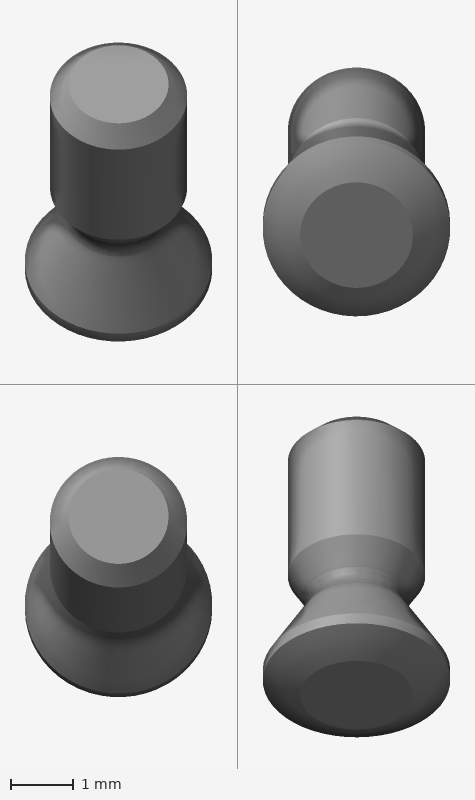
import cadquery as cq
import math

height = 5.0
body_radius = 1.1
head_radius = 1.5

chamfer = 0.3

rim_bottom = 0.3
rim_top = 0.5
body_bottom = 2.4

cone_slope = math.tan(math.radians(30))
waist_fillet = 0.3

dome_radius = 2.7
dome_centre_height = rim_bottom + math.sqrt(dome_radius**2 - head_radius**2)

waist_height = (rim_top + body_bottom + (head_radius - body_radius) / cone_slope) / 2
waist_radius = body_radius - (body_bottom - waist_height) * cone_slope


def dome_point(z):
    """Return the outline point where the dome passes the given height."""
    return (math.sqrt(dome_radius**2 - (dome_centre_height - z) ** 2), z)


def revolve_profile():
    """Revolve the half outline, with a sharp waist, about the Z axis."""
    return (
        cq.Workplane("XZ")
        .lineTo(*dome_point(0))
        .threePointArc(dome_point(rim_bottom / 2), (head_radius, rim_bottom))
        .lineTo(head_radius, rim_top)
        .lineTo(waist_radius, waist_height)
        .lineTo(body_radius, body_bottom)
        .lineTo(body_radius, height - chamfer)
        .lineTo(body_radius - chamfer, height)
        .lineTo(0, height)
        .close()
        .revolve(360, (0, 0), (0, 1))
    )


def waist_edge():
    """Select the sharp circular edge where the two cones meet."""
    margin = 0.005
    reach = waist_radius + margin
    return cq.selectors.BoxSelector(
        (-reach, -reach, waist_height - margin),
        (reach, reach, waist_height + margin),
        boundingbox=True,
    )


result = revolve_profile().edges(waist_edge()).fillet(waist_fillet)